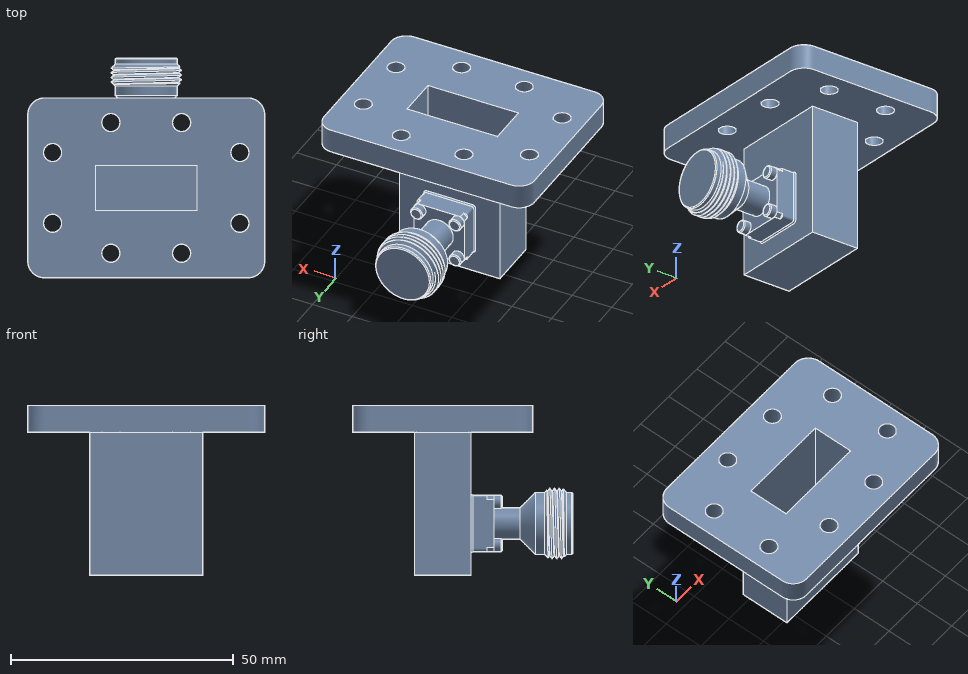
import cadquery as cq
import math


total_height = 38.1
bore_x = 22.86
bore_y = 10.16
wall = 1.27
guide_x = bore_x + 2 * wall
guide_y = bore_y + 2 * wall

flange_x = 53.2
flange_y = 40.4
flange_thickness = 6.0
flange_corner_radius = 3.85
bolt_hole_diameter = 4.0
bolt_offset = 7.93
bolt_row_x = 21.0
bolt_row_y = 14.65

connector_z = 11.65
mount_side = 12.7
bead_length = 0.45
bead_flare = 0.2
mount_length = 3.58
mount_corner_radius = 0.64
plate_thickness = 1.52
plate_corner_chamfer = 0.95
wall_y = guide_y / 2
plate_y = wall_y + mount_length
plate_face_y = plate_y + plate_thickness

screw_head_diameter = 3.0
screw_head_height = 1.9
screw_head_chamfer = 0.25
screw_offset = (mount_side - screw_head_diameter) / 2

connector_end_y = 29.15
barrel_radius = 13.97 / 2
neck_radius = 7.11 / 2
barrel_length = 8.4
cone_length = barrel_radius - neck_radius
end_chamfer = 0.25
barrel_start_y = connector_end_y - barrel_length
cone_start_y = barrel_start_y - cone_length

threads_per_inch = 24
thread_pitch = 25.4 / threads_per_inch
thread_crest_radius = 15.875 / 2
thread_root_radius = 14.7 / 2
thread_start_y = 22.83
thread_end_y = 27.75
ridge_embed = 0.1
ridge_half_angle = math.radians(37)
thread_crest_y = 23.19
ridge_turns = 7


def make_flange():
    bolt_points = []
    for sx in (-1, 1):
        for sy in (-1, 1):
            bolt_points.append((sx * bolt_offset, sy * bolt_row_y))
            bolt_points.append((sx * bolt_row_x, sy * bolt_offset))
    return (
        cq.Workplane("XY", origin=(0, 0, total_height - flange_thickness))
        .rect(flange_x, flange_y)
        .extrude(flange_thickness)
        .edges("|Z")
        .fillet(flange_corner_radius)
        .faces(">Z")
        .workplane(origin=(0, 0, total_height))
        .pushPoints(bolt_points)
        .hole(bolt_hole_diameter)
    )


def make_guide():
    return cq.Workplane("XY").rect(guide_x, guide_y).extrude(total_height)


def make_bore():
    return cq.Workplane("XY", origin=(0, 0, wall)).rect(bore_x, bore_y).extrude(total_height)


def section_at(y):
    """Workplane across the connector axis, extruding toward +Y."""
    return cq.Workplane("XZ", origin=(0, y, connector_z)).transformed(rotate=(180, 0, 0))


def make_mount():
    block = section_at(wall_y).rect(mount_side, mount_side).extrude(mount_length)
    block = block.edges("|Y").fillet(mount_corner_radius)
    flared_side = mount_side + 2 * bead_flare
    bead_taper = math.degrees(math.atan(bead_flare / bead_length))
    bead = (
        section_at(wall_y)
        .sketch()
        .rect(flared_side, flared_side)
        .vertices()
        .fillet(mount_corner_radius + bead_flare)
        .finalize()
        .extrude(bead_length, taper=bead_taper)
    )
    plate = section_at(plate_y).rect(mount_side, mount_side).extrude(plate_thickness)
    plate = plate.edges("|Y").chamfer(plate_corner_chamfer)
    return block.union(bead).union(plate)


def make_screw_heads():
    return (
        section_at(plate_face_y)
        .rect(2 * screw_offset, 2 * screw_offset, forConstruction=True)
        .vertices()
        .circle(screw_head_diameter / 2)
        .extrude(screw_head_height)
        .faces(">Y")
        .chamfer(screw_head_chamfer)
    )


def revolve_about_connector(points):
    """Solid of revolution from (radius, y) points, with the axis as its closing side."""
    profile = cq.Workplane("XY", origin=(0, 0, connector_z)).polyline(points).close()
    return profile.revolve(360, (0, 0, 0), (0, 1, 0))


def make_barrel():
    return revolve_about_connector([
        (0, plate_face_y),
        (neck_radius, plate_face_y),
        (neck_radius, cone_start_y),
        (barrel_radius, barrel_start_y),
        (barrel_radius, connector_end_y - end_chamfer),
        (barrel_radius - end_chamfer, connector_end_y),
        (0, connector_end_y),
    ])


def make_thread():
    ridge_start = thread_crest_y - 2 * thread_pitch
    ridge_length = ridge_turns * thread_pitch
    foot_radius = thread_root_radius - ridge_embed
    foot_half_width = (thread_crest_radius - foot_radius) * math.tan(ridge_half_angle)
    helix = cq.Wire.makeHelix(thread_pitch, ridge_length, foot_radius)
    ridge = (
        cq.Workplane("XZ")
        .polyline([
            (foot_radius, -foot_half_width),
            (thread_crest_radius, 0),
            (foot_radius, foot_half_width),
        ])
        .close()
        .sweep(cq.Workplane(helix), isFrenet=True)
        .rotate((0, 0, 0), (1, 0, 0), -90)
        .translate((0, ridge_start, connector_z))
    )
    sleeve = revolve_about_connector([
        (0, ridge_start),
        (thread_root_radius, ridge_start),
        (thread_root_radius, ridge_start + ridge_length),
        (0, ridge_start + ridge_length),
    ])
    envelope_radius = thread_crest_radius + ridge_embed
    run_out = envelope_radius - barrel_radius
    envelope = revolve_about_connector([
        (0, thread_start_y),
        (barrel_radius, thread_start_y),
        (envelope_radius, thread_start_y + run_out),
        (envelope_radius, thread_end_y - run_out),
        (barrel_radius, thread_end_y),
        (0, thread_end_y),
    ])
    return sleeve.intersect(envelope).union(ridge.intersect(envelope))


result = (
    make_guide()
    .union(make_flange())
    .cut(make_bore())
    .union(make_mount())
    .union(make_screw_heads())
    .union(make_barrel())
    .union(make_thread())
)